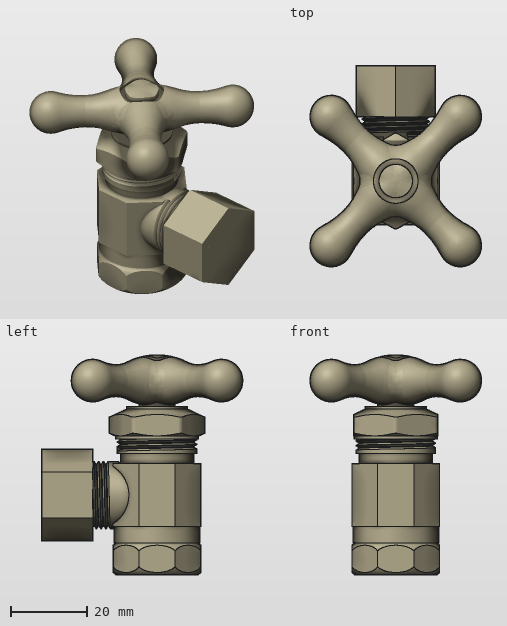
import cadquery as cq
import math


octagon_flats = 23.0
octagon_corners = octagon_flats / math.cos(math.pi / 8)
inlet_height = 8.36
inlet_end_radius = 10.8
inlet_bevel_flat = 0.6
inlet_bevel_corner = 2.1
waist_radius = 11.3
body_base = 12.65
body_top = 29.2

neck_radius = 9.65
neck_top = 31.8
bonnet_thread_radius = 10.45
bonnet_thread_start = 33.0
bonnet_lip_base = 35.6
bonnet_lip_radius = 10.93
hex_base = 36.4
bonnet_hex_flats = 22.1
bonnet_corner_fillet = 1.3
bonnet_bevel = math.radians(25)
collar_radius = 8.03
collar_base = 43.5
collar_top = 44.2

outlet_height = (body_base + body_top) / 2
outlet_radius = 8.87
outlet_thread_start = 12.25
outlet_end = 30.29
neck_clearance_radius = 10.15
nut_flats = 20.85
nut_length = 13.45

thread_pitch = 1.25
groove_depth = 0.75
groove_mouth = 1.2
groove_root = 0.2
groove_clearance = 0.05
bonnet_thread_angle = -265
bonnet_thread_overrun = 0.8
outlet_thread_angle = -70
outlet_thread_overrun = 0.5

handle_top = 57.75
handle_height = (collar_top + handle_top) / 2
hub_radius = handle_top - handle_height
arm_count = 4
ball_radius = 5.63
ball_distance = 16.92 * math.sqrt(2)
arm_waist_radius = 4.21
arm_waist_distance = 15.1
arm_inner_curve = 17.0
first_arm_angle = 45
web_fillet = 4.5
stem_radius = 4.77
ring_inner_radius = 4.38
ring_outer_radius = 5.85
ring_floor = 55.5


def disc(radius, bottom, top):
    """Round section about the Z axis."""
    return cq.Workplane("XY").workplane(offset=bottom).circle(radius).extrude(top - bottom)


def octagon(bottom, top):
    """Octagonal prism about the Z axis with flats facing X and Y."""
    prism = cq.Workplane("XY").workplane(offset=bottom).polygon(8, octagon_corners).extrude(top - bottom)
    return prism.rotate((0, 0, 0), (0, 0, 1), 180 / 8)


def threaded_rod(radius, length, groove_start, groove_rise, start_angle):
    """Rod standing on z = 0, with a helical V groove that climbs by groove_rise."""
    mouth_radius = radius + groove_clearance
    root_radius = radius - groove_depth
    groove = (
        cq.Workplane("XZ")
        .polyline([
            (mouth_radius, -groove_mouth / 2),
            (mouth_radius, groove_mouth / 2),
            (root_radius, groove_root / 2),
            (root_radius, -groove_root / 2),
        ])
        .close()
        .sweep(cq.Workplane(cq.Wire.makeHelix(thread_pitch, groove_rise, radius)), isFrenet=True)
        .rotate((0, 0, 0), (0, 0, 1), start_angle)
        .translate((0, 0, groove_start))
    )
    return disc(radius, 0, length).cut(groove)


def make_inlet():
    """Octagon whose corners are rounded off at both ends."""
    octagon_radius = octagon_corners / 2
    flat_radius = octagon_flats / 2
    envelope = (
        cq.Workplane("XZ")
        .lineTo(inlet_end_radius, 0)
        .threePointArc((flat_radius, inlet_bevel_flat), (octagon_radius, inlet_bevel_corner))
        .lineTo(octagon_radius, inlet_height - inlet_bevel_corner)
        .threePointArc((flat_radius, inlet_height - inlet_bevel_flat), (inlet_end_radius, inlet_height))
        .lineTo(0, inlet_height)
        .close()
        .revolve(360, (0, 0, 0), (0, 1, 0))
    )
    return octagon(0, inlet_height).intersect(envelope)


def make_outlet():
    """Threaded spigot along +Y, kept clear of the bonnet neck above the body."""
    groove_rise = outlet_end - nut_length + outlet_thread_overrun - outlet_thread_start
    spigot = threaded_rod(outlet_radius, outlet_end, outlet_thread_start, groove_rise, outlet_thread_angle)
    spigot = spigot.rotate((0, 0, 0), (1, 0, 0), -90).translate((0, 0, outlet_height))
    return spigot.cut(disc(neck_clearance_radius, body_top, bonnet_lip_base))


def make_bonnet():
    """Neck, thread, bevelled hexagon and top collar."""
    bevel_slope = math.tan(bonnet_bevel)
    hex_corner_radius = bonnet_hex_flats / 2 / math.cos(math.pi / 6)
    lower_rise = (hex_corner_radius - bonnet_lip_radius) * bevel_slope
    upper_drop = (hex_corner_radius - collar_radius) * bevel_slope
    envelope = (
        cq.Workplane("XZ")
        .moveTo(0, hex_base)
        .lineTo(bonnet_lip_radius, hex_base)
        .lineTo(hex_corner_radius, hex_base + lower_rise)
        .lineTo(hex_corner_radius, collar_base - upper_drop)
        .lineTo(collar_radius, collar_base)
        .lineTo(0, collar_base)
        .close()
        .revolve(360, (0, 0, 0), (0, 1, 0))
    )
    hexagon = (
        cq.Workplane("XY")
        .workplane(offset=hex_base)
        .polygon(6, 2 * hex_corner_radius)
        .extrude(collar_base - hex_base)
        .edges("|Z")
        .fillet(bonnet_corner_fillet)
        .rotate((0, 0, 0), (0, 0, 1), 180 / 6)
        .intersect(envelope)
    )
    thread = threaded_rod(
        bonnet_thread_radius,
        bonnet_lip_base - neck_top,
        bonnet_thread_start - neck_top,
        bonnet_lip_base + bonnet_thread_overrun - bonnet_thread_start,
        bonnet_thread_angle,
    ).translate((0, 0, neck_top))
    return (
        disc(neck_radius, body_top, neck_top)
        .union(thread)
        .union(disc(bonnet_lip_radius, bonnet_lip_base, hex_base))
        .union(hexagon)
        .union(disc(collar_radius, collar_base, collar_top))
    )


def make_valve():
    waist = disc(waist_radius, inlet_height, body_base)
    body = octagon(body_base, body_top).union(make_outlet())
    return make_inlet().union(waist).union(body).union(make_bonnet())


def make_outlet_nut():
    """Plain hexagon with corners up and down, bored for the outlet spigot."""
    nut_corners = nut_flats / math.cos(math.pi / 6)
    return (
        cq.Workplane("XY")
        .polygon(6, nut_corners)
        .circle(outlet_radius)
        .extrude(nut_length)
        .rotate((0, 0, 0), (0, 0, 1), 180 / 6)
        .rotate((0, 0, 0), (1, 0, 0), -90)
        .translate((0, outlet_end - nut_length, outlet_height))
    )


def make_arm():
    """Arm along +X: a swelling at the hub, a slim waist and a ball end, all tangent arcs."""
    swell_drop = hub_radius - arm_waist_radius
    bend = 2 * math.atan(swell_drop / arm_waist_distance)
    swell_curve = arm_waist_distance / math.sin(bend) - arm_inner_curve
    swell_end = (swell_curve * math.sin(bend), hub_radius - swell_curve * (1 - math.cos(bend)))
    swell_mid = (swell_curve * math.sin(bend / 2), hub_radius - swell_curve * (1 - math.cos(bend / 2)))
    inner_mid = (
        arm_waist_distance - arm_inner_curve * math.sin(bend / 2),
        arm_waist_radius + arm_inner_curve * (1 - math.cos(bend / 2)),
    )

    reach = ball_distance - arm_waist_distance
    outer_curve = (reach**2 + arm_waist_radius**2 - ball_radius**2) / (2 * (ball_radius - arm_waist_radius))
    flare = math.asin(reach / (outer_curve + ball_radius))
    ball_start = (
        ball_distance - ball_radius * math.sin(flare),
        ball_radius * math.cos(flare),
    )
    outer_mid = (
        arm_waist_distance + outer_curve * math.sin(flare / 2),
        arm_waist_radius + outer_curve * (1 - math.cos(flare / 2)),
    )
    return (
        cq.Workplane("XZ")
        .lineTo(0, hub_radius)
        .threePointArc(swell_mid, swell_end)
        .threePointArc(inner_mid, (arm_waist_distance, arm_waist_radius))
        .threePointArc(outer_mid, ball_start)
        .threePointArc((ball_distance, ball_radius), (ball_distance + ball_radius, 0))
        .close()
        .revolve(360, (0, 0, 0), (1, 0, 0))
    )


def make_handle():
    """Four arms blended into each other, with a ring groove on top and a short stem below."""
    arm = make_arm()
    handle = arm.rotate((0, 0, 0), (0, 0, 1), first_arm_angle)
    for index in range(1, arm_count):
        handle = handle.union(arm.rotate((0, 0, 0), (0, 0, 1), first_arm_angle + index * 360 / arm_count))

    handle = handle.edges("%BSPLINE").fillet(web_fillet).translate((0, 0, handle_height))

    groove = disc(ring_outer_radius, ring_floor, handle_top).cut(disc(ring_inner_radius, ring_floor, handle_top))
    return handle.cut(groove).union(disc(stem_radius, collar_top, handle_height))


valve = make_valve()
outlet_nut = make_outlet_nut()
handle = make_handle()

result = cq.Compound.makeCompound([valve.solids().val(), outlet_nut.solids().val(), handle.solids().val()])